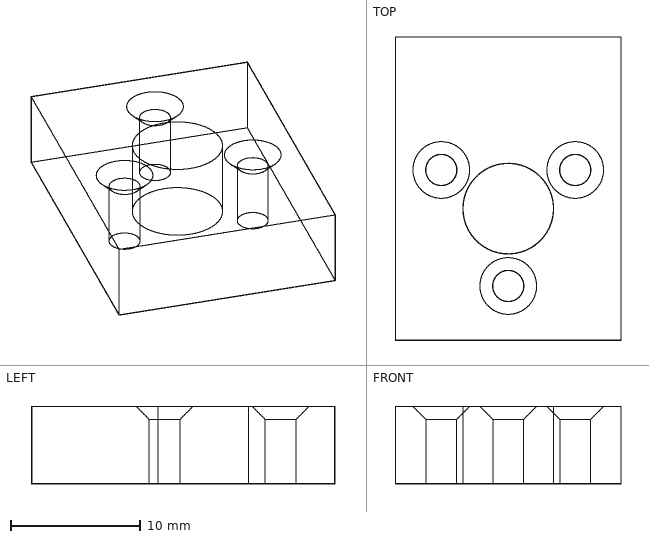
import cadquery as cq

width = 17.5
length = 23.5
thickness = 6.0

bore_diameter = 7.0
bore_offset_y = -1.55

screw_count = 3
screw_circle_radius = 6.0
first_screw_angle = -90
screw_diameter = 2.4
countersink_diameter = 4.4
countersink_angle = 90

plate = cq.Workplane("XY").box(width, length, thickness)

bored_plate = (
    plate.faces(">Z").workplane(origin=(0, bore_offset_y, 0))
    .hole(bore_diameter)
)

result = (
    bored_plate.faces(">Z").workplane(origin=(0, bore_offset_y, 0))
    .polarArray(screw_circle_radius, first_screw_angle, 360, screw_count)
    .cskHole(screw_diameter, countersink_diameter, countersink_angle)
)